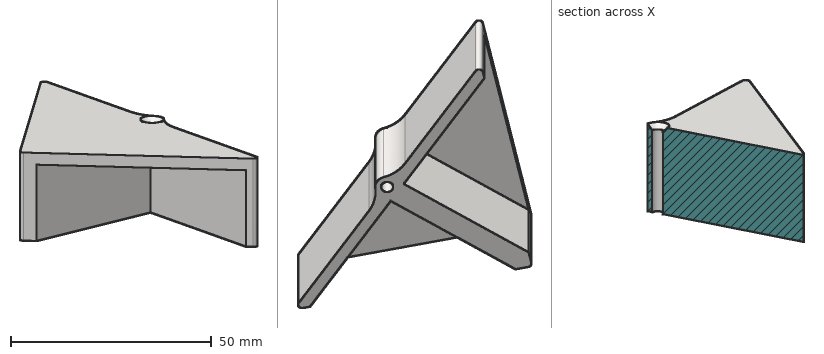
import cadquery as cq
import math

length = 83.2
height = 23.0
plate_thickness = 3.1
wall_thickness = 3.0
rib_width = 6.0
corner_radius = 1.0

boss_radius = 3.0
blend_radius = 10.0
hole_diameter = 3.0
countersink_diameter = 5.8
countersink_angle = 90.0

half_base = length / 2 + math.sqrt(2) * corner_radius


def triangle_prism():
    """Right-angled triangle with its long side on y = 0 and all corners rounded."""
    corners = [(-half_base, 0), (0, -half_base), (half_base, 0)]
    prism = cq.Workplane("XY").polyline(corners).close().extrude(height)
    return prism.edges("|Z").fillet(corner_radius)


def boss():
    """Round boss centred on the back edge, with concave arcs running into that edge."""
    centre_distance = boss_radius + blend_radius
    blend_x = math.sqrt(centre_distance**2 - blend_radius**2)
    touch_x = blend_x * boss_radius / centre_distance
    touch_y = blend_radius * boss_radius / centre_distance

    end_angle = math.atan2(blend_radius, blend_x)
    middle_angle = (math.pi / 2 + end_angle) / 2
    middle_x = blend_x - blend_radius * math.cos(middle_angle)
    middle_y = blend_radius * (1 - math.sin(middle_angle))

    return (
        cq.Workplane("XY")
        .moveTo(-blend_x, 0)
        .threePointArc((-middle_x, middle_y), (-touch_x, touch_y))
        .threePointArc((0, boss_radius), (touch_x, touch_y))
        .threePointArc((middle_x, middle_y), (blend_x, 0))
        .lineTo(blend_x, -wall_thickness)
        .lineTo(-blend_x, -wall_thickness)
        .close()
        .extrude(height)
    )


def pocket(side):
    """Space under the plate on one side of the rib, open to the slanted side."""
    return (
        cq.Workplane("XY")
        .moveTo(side * rib_width / 2, -wall_thickness)
        .lineTo(side * half_base, -wall_thickness)
        .lineTo(side * half_base, -half_base)
        .lineTo(side * rib_width / 2, -half_base)
        .close()
        .extrude(height - plate_thickness)
    )


body = triangle_prism().union(boss())

for side in (-1, 1):
    body = body.cut(pocket(side))

result = (
    body.faces(">Z")
    .workplane(origin=(0, 0, height))
    .cskHole(hole_diameter, countersink_diameter, countersink_angle)
)